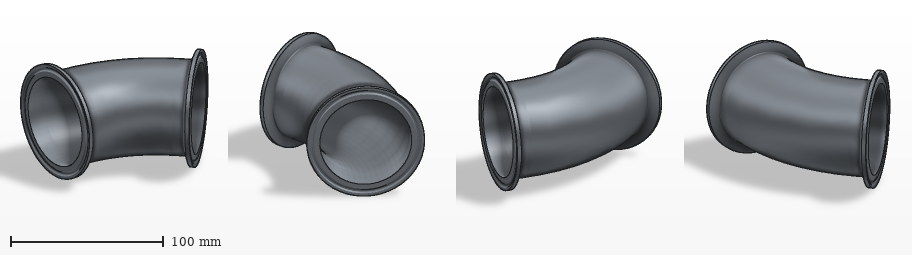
import cadquery as cq
import math

tube_diameter = 63.5
bore_diameter = 60.3
overall_length = 116.3
bend_angle = 45.0
ferrule_length = 12.7

flange_diameter = 77.4
rim_thickness = 2.8
cone_angle = 21.5
neck_fillet = 1.2

groove_center_radius = 35.4
groove_bottom_radius = 1.3
groove_edge_radius = 0.6
groove_arc_angle = 70.0

tube_radius = tube_diameter / 2
bore_radius = bore_diameter / 2
flange_radius = flange_diameter / 2

bend_sine = math.sin(math.radians(bend_angle))
bend_cosine = math.cos(math.radians(bend_angle))
bend_rise = overall_length - flange_radius * bend_sine - ferrule_length * (1 + bend_cosine)
bend_radius = bend_rise / bend_sine


def groove_profile():
    """Closed groove section in (radius, axial) coordinates, open at axial = 0."""
    angle = math.radians(groove_arc_angle)
    half_angle = angle / 2
    blend_radius_sum = groove_bottom_radius + groove_edge_radius
    depth = blend_radius_sum * (1 - math.cos(angle))
    half_width = blend_radius_sum * math.sin(angle)
    blend_offset = groove_bottom_radius * math.sin(angle)
    blend_height = groove_edge_radius * (1 - math.cos(angle))
    edge_mid_offset = half_width - groove_edge_radius * math.sin(half_angle)
    edge_mid_height = groove_edge_radius * (1 - math.cos(half_angle))
    center = groove_center_radius
    return (
        cq.Workplane("XY")
        .moveTo(center - half_width, 0)
        .threePointArc((center - edge_mid_offset, edge_mid_height), (center - blend_offset, blend_height))
        .threePointArc((center, depth), (center + blend_offset, blend_height))
        .threePointArc((center + edge_mid_offset, edge_mid_height), (center + half_width, 0))
        .close()
    )


def make_ferrule():
    """Ferrule revolved about Y, with its sealing face on Y = 0 and its tube toward +Y."""
    cone_slope = math.tan(math.radians(cone_angle))
    neck_height = rim_thickness + (flange_radius - tube_radius) * cone_slope

    turn_angle = math.radians(90 - cone_angle)
    tangent_length = neck_fillet * math.tan(turn_angle / 2)
    fillet_start = (
        tube_radius + tangent_length * math.cos(math.radians(cone_angle)),
        neck_height - tangent_length * math.sin(math.radians(cone_angle)),
    )
    fillet_end_height = neck_height + tangent_length
    fillet_middle = (
        tube_radius + neck_fillet * (1 - math.cos(turn_angle / 2)),
        fillet_end_height - neck_fillet * math.sin(turn_angle / 2),
    )

    body = (
        cq.Workplane("XY")
        .moveTo(bore_radius, 0)
        .lineTo(flange_radius, 0)
        .lineTo(flange_radius, rim_thickness)
        .lineTo(*fillet_start)
        .threePointArc(fillet_middle, (tube_radius, fillet_end_height))
        .lineTo(tube_radius, ferrule_length)
        .lineTo(bore_radius, ferrule_length)
        .close()
        .revolve(360, (0, 0, 0), (0, 1, 0))
    )
    groove = groove_profile().revolve(360, (0, 0, 0), (0, 1, 0))
    return body.cut(groove)


def make_bend():
    """Tube swept from the inner end of the first ferrule toward +X."""
    return (
        cq.Workplane("XZ", origin=(0, ferrule_length, 0))
        .circle(tube_radius)
        .circle(bore_radius)
        .revolve(bend_angle, (bend_radius, 1.2, 0), (bend_radius, 0, 0))
    )


def place_at_far_end(ferrule):
    """Mirror a ferrule across the first bend plane, then turn it around the bend center."""
    bend_center = (bend_radius, ferrule_length, 0)
    above_center = (bend_radius, ferrule_length, 1)
    return ferrule.mirror("XZ", bend_center).rotate(bend_center, above_center, -bend_angle)


first_ferrule = make_ferrule()
second_ferrule = place_at_far_end(first_ferrule)
result = first_ferrule.union(make_bend()).union(second_ferrule)